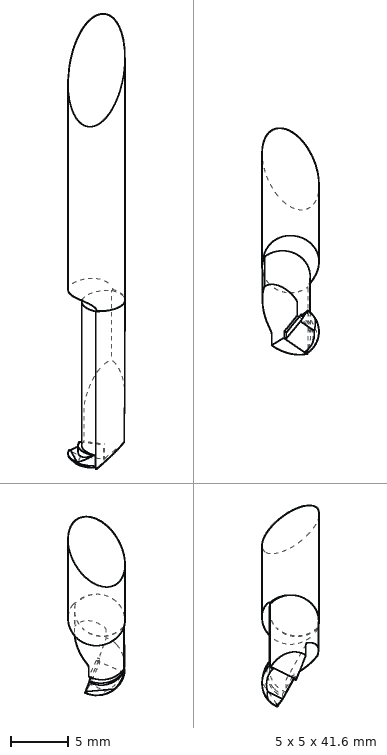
import cadquery as cq
import math

total_length = 41.6
shank_radius = 2.5
bevel_angle = 60.0
bevel_drop = 2 * shank_radius * math.tan(math.radians(bevel_angle))

neck_top = 15.2
neck_radius = 2.4
neck_front_x = -1.25
neck_front_axis = neck_front_x + neck_radius
neck_rear_axis = shank_radius - neck_radius
neck_edge_x = (neck_front_axis + neck_rear_axis) / 2
rear_taper_height = 0.25
step_fillet = 1.0

flat_y = 0.2
flat_top = 4.82
run_out_radius = 1.65

head_top = 1.4
root_shift = 0.9
rake_y = 0.0
tip_z = 0.5
nose_x = -1.45
bottom_slope = 0.04
flank_slope = 0.65
flank_fall = 0.37
heel_chamfer = 0.4
back_chamfer_x = 0.62

margin = 2.08


def cylinder(radius, bottom, top, x=0.0):
    return cq.Workplane("XY", origin=(x, 0, bottom)).circle(radius).extrude(top - bottom)


def wide_prism(points):
    """Prism of a closed (x, z) outline, spanning the full width in Y."""
    reach = shank_radius + margin
    return cq.Workplane("XZ").polyline(points).close().extrude(reach, both=True)


def make_shank():
    bar = cylinder(shank_radius, neck_top, total_length)
    outer = neck_radius + step_fillet
    wide = outer + margin
    step_z = neck_top + step_fillet
    middle = step_fillet * math.sqrt(0.5)
    envelope = (
        cq.Workplane("XZ", origin=(neck_front_axis, 0, 0))
        .moveTo(0, neck_top)
        .lineTo(neck_radius, neck_top)
        .threePointArc((outer - middle, step_z - step_fillet + middle), (outer, step_z))
        .lineTo(wide, step_z)
        .lineTo(wide, total_length)
        .lineTo(0, total_length)
        .close()
        .revolve(360, (0, 0, 0), (0, 1, 0))
    )
    taper_top = neck_top + rear_taper_height
    taper_radius = shank_radius + neck_rear_axis
    rear_taper = cq.Workplane(obj=cq.Solid.makeCone(
        neck_radius, taper_radius, rear_taper_height, cq.Vector(neck_rear_axis, 0, neck_top),
    ))
    rear_envelope = rear_taper.union(cylinder(taper_radius, taper_top, total_length, neck_rear_axis))
    bevel = (
        cq.Workplane("YZ")
        .polyline([
            (shank_radius, total_length),
            (-shank_radius, total_length),
            (-shank_radius, total_length - bevel_drop),
        ])
        .close()
        .extrude(shank_radius, both=True)
    )
    return bar.intersect(envelope).intersect(rear_envelope).cut(bevel)


def upper_flank_cutter():
    """Space above a plane that climbs toward the core and falls along -Y."""
    outside_x = -shank_radius - margin
    outside_z = tip_z - flank_slope * margin
    inside_z = tip_z + flank_slope * 2 * shank_radius
    outline = [
        (outside_x, outside_z),
        (shank_radius, inside_z),
        (shank_radius, inside_z + margin),
        (outside_x, inside_z + margin),
    ]
    wire = cq.Wire.makePolygon([cq.Vector(x, flat_y, z) for x, z in outline], close=True)
    sweep = cq.Vector(0, -1, -flank_fall) * (shank_radius + margin)
    return cq.Workplane(obj=cq.Solid.extrudeLinear(wire, [], sweep))


def make_head_blank():
    """Shank-sized disc with its heel chamfer, sloping flank and round root."""
    blank = cylinder(shank_radius, 0, tip_z)
    blank = blank.faces("<Z").chamfer(heel_chamfer)
    tip = cylinder(shank_radius, tip_z, head_top).cut(upper_flank_cutter())
    root = cylinder(shank_radius, tip_z, head_top, root_shift)
    root = root.intersect(cylinder(shank_radius, tip_z, head_top))
    return blank.union(tip).union(root)


def half_section_cutter():
    """Space beyond the flat, with the slanted run-out at its upper end."""
    bevel_tangent = math.tan(math.radians(bevel_angle))
    outside_y = shank_radius + margin
    outside_z = flat_top + bevel_tangent * (outside_y - flat_y)
    turn = math.radians(90 - bevel_angle)
    setback = run_out_radius * math.tan(turn / 2)
    center_y = flat_y + run_out_radius
    center_z = flat_top - setback
    arc_end = (center_y - run_out_radius * math.cos(turn), center_z + run_out_radius * math.sin(turn))
    arc_middle = (
        center_y - run_out_radius * math.cos(turn / 2),
        center_z + run_out_radius * math.sin(turn / 2),
    )
    return (
        cq.Workplane("YZ")
        .moveTo(flat_y, -margin)
        .lineTo(flat_y, center_z)
        .threePointArc(arc_middle, arc_end)
        .lineTo(outside_y, outside_z)
        .lineTo(outside_y, -margin)
        .close()
        .extrude(shank_radius + margin, both=True)
    )


def rake_cutter():
    """Shallow step that sets the rake face of the tip at the shank axis."""
    width = shank_radius + margin
    return cq.Workplane("XY", origin=(neck_edge_x - width, rake_y, -margin)).box(
        width, width, head_top + margin, centered=False
    )


def end_cutters():
    """Material below the tip and outside the 45 degree back chamfer."""
    reach = shank_radius + margin
    lead = wide_prism([(-shank_radius, tip_z), (nose_x, 0), (nose_x, -margin), (-shank_radius, -margin)])
    relief = wide_prism([(nose_x, 0), (reach, bottom_slope * (reach - nose_x)), (reach, -margin)])
    back = wide_prism([
        (back_chamfer_x - margin, -margin),
        (reach, reach - back_chamfer_x),
        (reach, -margin),
    ])
    return lead.union(relief).union(back)


def behind_edge():
    """Everything on the +X side of the edge between the two neck circles."""
    reach = neck_edge_x + 2 * shank_radius + margin
    top = neck_top + margin
    return wide_prism([(neck_edge_x, -margin), (reach, -margin), (reach, top), (neck_edge_x, top)])


def make_neck():
    front = cylinder(neck_radius, head_top, neck_top, neck_front_axis)
    front = front.union(make_head_blank()).cut(behind_edge())
    rear = cylinder(neck_radius, 0, neck_top, neck_rear_axis).intersect(behind_edge())
    blank = front.union(rear)
    return blank.cut(half_section_cutter()).cut(rake_cutter()).cut(end_cutters())


shank = make_shank()
neck = make_neck()
result = cq.Compound.makeCompound([shank.solids().val(), neck.solids().val()])